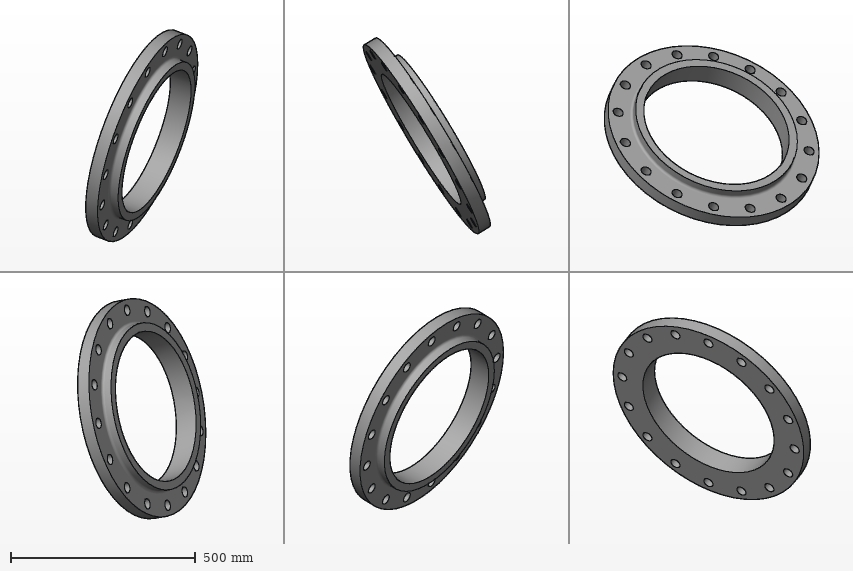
import cadquery as cq

outer_diameter = 597.0
total_width = 63.0
flange_thickness = 36.5
hub_diameter = 457.0
bore_diameter = 410.5
root_fillet_radius = 7.0

bolt_hole_count = 16
bolt_hole_diameter = 28.0
bolt_circle_diameter = 539.5

outer_radius = outer_diameter / 2
hub_radius = hub_diameter / 2
bore_radius = bore_diameter / 2


def ring_body():
    """Flange with a hub on its +X side and a filleted root, revolved about X."""
    return (
        cq.Workplane("XY")
        .moveTo(0, bore_radius)
        .lineTo(0, outer_radius)
        .lineTo(flange_thickness, outer_radius)
        .lineTo(flange_thickness, hub_radius + root_fillet_radius)
        .radiusArc((flange_thickness + root_fillet_radius, hub_radius), -root_fillet_radius)
        .lineTo(total_width, hub_radius)
        .lineTo(total_width, bore_radius)
        .close()
        .revolve(360, (0, 0, 0), (1, 0, 0))
    )


def bolt_holes():
    """Cutters for the equally spaced through holes, the first one on the Y axis."""
    return (
        cq.Workplane("YZ")
        .polarArray(bolt_circle_diameter / 2, 0, 360, bolt_hole_count)
        .circle(bolt_hole_diameter / 2)
        .extrude(flange_thickness)
    )


result = ring_body().cut(bolt_holes())